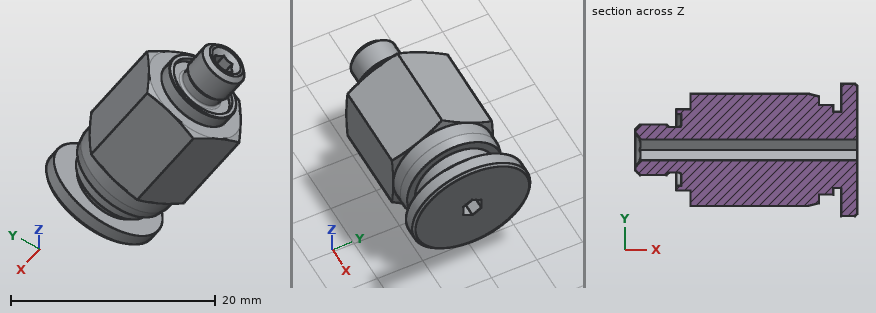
import cadquery as cq
import math

tip_chamfer = 0.5
thread_end = 3.05
neck_start = 3.3
collar_start = 4.0
hex_start = 5.4
hex_end = 15.5
body_end = 17.0
taper_end = 18.0
sleeve_end = 19.4
flange_start = 20.15
total_length = 21.75

thread_radius = 2.5
neck_radius = 2.25
collar_radius = 4.0
collar_edge_chamfer = 0.06
body_radius = 5.5
taper_radius = 5.25
sleeve_radius = 4.4
release_neck_radius = 3.75

recess_radius = 3.5
recess_depth = 0.5

neck_fillet = 0.25

hex_across_flats = 11.0
hex_face_radius = hex_across_flats / 2
hex_chamfer_angle = 18.0

flange_half_width = 6.5
flange_half_height = 5.5
flange_chamfer = 0.25

socket_across_flats = 2.0
lead_in_radius = 1.7
lead_in_half_angle = 52.0


def revolve_about_x(profile):
    """Turn a closed (x, radius) outline around the X axis."""
    return cq.Workplane("XY").polyline(profile).close().revolve(360, (0, 0, 0), (1, 0, 0))


def corner_radius_of(across_flats):
    """Distance from the centre of a hexagon to its corners."""
    return across_flats / 2 / math.cos(math.pi / 6)


def hexagonal_bar(across_flats, start, end):
    """Hexagonal bar along X with two corners pointing along Z."""
    return (
        cq.Workplane("YZ", origin=(start, 0, 0))
        .transformed(rotate=(0, 0, 90))
        .polygon(6, 2 * corner_radius_of(across_flats))
        .extrude(end - start)
    )


def make_neck_fillet(recess_floor):
    """Ring that rounds the root of the neck into the recess floor."""
    arc_center_x = recess_floor - neck_fillet
    arc_center_radius = neck_radius + neck_fillet
    arc_offset = neck_fillet * math.sqrt(0.5)
    return (
        cq.Workplane("XY")
        .moveTo(arc_center_x, neck_radius)
        .threePointArc(
            (arc_center_x + arc_offset, arc_center_radius - arc_offset),
            (recess_floor, arc_center_radius),
        )
        .lineTo(recess_floor, neck_radius)
        .close()
        .revolve(360, (0, 0, 0), (1, 0, 0))
    )


def make_turned_core():
    """Stepped round body from the threaded tip to the release flange."""
    recess_floor = collar_start + recess_depth
    core = revolve_about_x([
        (0, 0),
        (0, thread_radius - tip_chamfer),
        (tip_chamfer, thread_radius),
        (thread_end, thread_radius),
        (neck_start, neck_radius),
        (recess_floor, neck_radius),
        (recess_floor, recess_radius),
        (collar_start, recess_radius),
        (collar_start, collar_radius - collar_edge_chamfer),
        (collar_start + collar_edge_chamfer, collar_radius),
        (hex_start, collar_radius),
        (hex_start, body_radius),
        (body_end, body_radius),
        (taper_end, taper_radius),
        (taper_end, sleeve_radius),
        (sleeve_end, sleeve_radius),
        (sleeve_end, release_neck_radius),
        (flange_start, release_neck_radius),
        (flange_start, 0),
    ])
    return core.union(make_neck_fillet(recess_floor))


def make_wrench_hexagon():
    """Hexagon whose corners are cut back by a shallow cone at both ends."""
    corner_radius = corner_radius_of(hex_across_flats)
    cone_length = (corner_radius - hex_face_radius) * math.tan(math.radians(hex_chamfer_angle))
    envelope = revolve_about_x([
        (hex_start, 0),
        (hex_start, hex_face_radius),
        (hex_start + cone_length, corner_radius),
        (hex_end - cone_length, corner_radius),
        (hex_end, hex_face_radius),
        (hex_end, 0),
    ])
    return hexagonal_bar(hex_across_flats, hex_start, hex_end).intersect(envelope)


def make_release_flange():
    """Elliptical plate, wider along Y, with its outer rim chamfered."""
    return (
        cq.Workplane("YZ", origin=(flange_start, 0, 0))
        .ellipse(flange_half_width, flange_half_height)
        .extrude(total_length - flange_start)
        .faces(">X")
        .chamfer(flange_chamfer)
    )


def make_socket():
    """Through hexagon with a cone opening at the threaded tip."""
    lead_in_depth = lead_in_radius / math.tan(math.radians(lead_in_half_angle))
    lead_in = revolve_about_x([(0, 0), (0, lead_in_radius), (lead_in_depth, 0)])
    return hexagonal_bar(socket_across_flats, 0, total_length).union(lead_in)


result = (
    make_turned_core()
    .union(make_wrench_hexagon())
    .union(make_release_flange())
    .cut(make_socket())
)